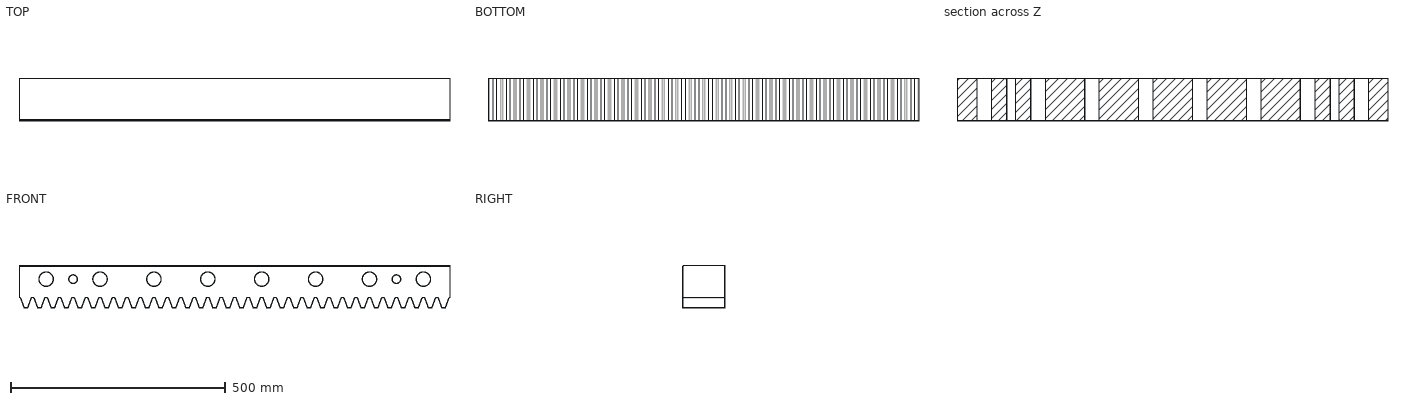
import cadquery as cq
import math

module = 10.0
tooth_count = 32
pressure_angle = math.radians(20)
length = 1003.88
width = 99.0
height = 99.0
root_depth = 23.9
root_radius = 2.0
back_chamfer = 3.0

bolt_hole_diameter = 33.0
bolt_hole_count = 8
pitches_per_bolt = 4
pin_hole_diameter = 19.5
hole_depth_from_back = 32.0

pitch = math.pi * module
addendum = module
flank_slope = math.tan(pressure_angle)
tip_half_width = pitch / 4 - addendum * flank_slope
root_half_width = tip_half_width + root_depth * flank_slope

back_z = height / 2
tip_z = -height / 2
root_z = tip_z + root_depth
hole_z = back_z - hole_depth_from_back

bolt_spacing = pitches_per_bolt * pitch
pin_offset = (bolt_hole_count / 2 - 1) * bolt_spacing


def make_body():
    """Rectangular bar with its upper front edge chamfered."""
    bar = cq.Workplane("XY").box(length, width, height)
    return bar.edges("|X and >Z and <Y").chamfer(back_chamfer)


def tooth_space(center_x):
    """Tapered gap between two teeth, with rounded root corners, cut across the full width."""
    mouth_half = pitch / 2 - tip_half_width
    floor_half = pitch / 2 - root_half_width
    gap = (
        cq.Workplane("XZ")
        .polyline([
            (center_x - mouth_half, tip_z),
            (center_x - floor_half, root_z),
            (center_x + floor_half, root_z),
            (center_x + mouth_half, tip_z),
        ])
        .close()
        .extrude(width / 2, both=True)
    )
    return gap.edges("|Y and >Z").fillet(root_radius)


def cut_teeth(body):
    """Cut every tooth space, including the partial ones at both ends."""
    for index in range(tooth_count + 1):
        center_x = (index - tooth_count / 2) * pitch
        body = body.cut(tooth_space(center_x))
    return body


def cross_holes(x_positions, diameter):
    """Cylinders through the full width at the hole height."""
    return (
        cq.Workplane("XZ")
        .pushPoints([(x, hole_z) for x in x_positions])
        .circle(diameter / 2)
        .extrude(width / 2, both=True)
    )


bolt_positions = [(i - (bolt_hole_count - 1) / 2) * bolt_spacing for i in range(bolt_hole_count)]
pin_positions = [-pin_offset, pin_offset]

result = cut_teeth(make_body())
result = result.cut(cross_holes(bolt_positions, bolt_hole_diameter))
result = result.cut(cross_holes(pin_positions, pin_hole_diameter))